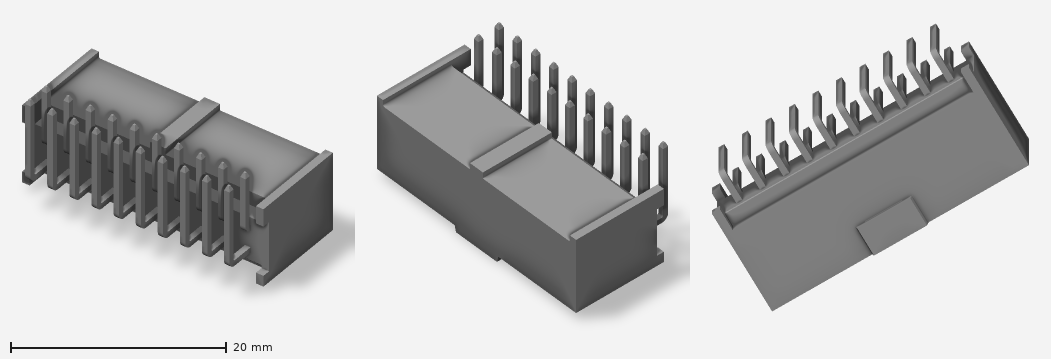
import cadquery as cq

length = 27.75
plate_depth = 10.95
plate_height = 8.93
plate_thickness = 0.85
inner_length = length - 2 * plate_thickness

wall_depth = 10.07
body_depth = 8.6
roof_drop = 0.75
upper_ledge_drop = 2.3
lower_ledge_height = 1.53
ledge_chamfer = 0.08

notch_bottom = 1.25
notch_top_drop = 2.0

rib_width = 1.8
rib_fillet = 0.08
plate_fillet = 0.2

key_height = 0.75
key_depth = 3.05
key_top_width = 6.05
key_bottom_width = 5.71
key_fillet = 0.08
key_rear_fillet_width = 4.02

pins_per_row = 10
row_span = 22.85
row_pitch = 2.55
pin_width = 0.65
outer_bend_radius = 0.83
inner_bend_radius = outer_bend_radius - pin_width
tip_height = 0.5
tip_width = 0.22
outer_pin_depth = 13.4
lower_pin_base = 2.47
pin_top = 11.9
pin_embed = 0.83

notch_top = plate_height - notch_top_drop
roof_height = plate_height - roof_drop


def block(width, depth, bottom, top):
    """Box centred on X, running from the mating face back to the given depth."""
    return (
        cq.Workplane("XY")
        .box(width, depth, top - bottom, centered=(True, False, False))
        .translate((0, -depth, bottom))
    )


def concave_fillet(x, z, radius, depth, side_x, side_z):
    """Bar filling an inside corner at (x, z); the signs point into the open corner."""
    arc_offset = radius * (1 - 0.5 ** 0.5)
    return (
        cq.Workplane("XZ")
        .moveTo(x, z)
        .lineTo(x + side_x * radius, z)
        .threePointArc(
            (x + side_x * arc_offset, z + side_z * arc_offset),
            (x, z + side_z * radius),
        )
        .close()
        .extrude(depth)
    )


def make_body():
    core = block(inner_length, body_depth, 0, roof_height)
    wall = block(
        inner_length, wall_depth, lower_ledge_height, plate_height - upper_ledge_drop
    )
    wall = wall.faces("<Y").edges("|X").chamfer(ledge_chamfer)
    return core.union(wall)


def make_end_plate(side):
    plate_center = side * (length - plate_thickness) / 2
    notch_depth = plate_depth - wall_depth
    plate = block(plate_thickness, plate_depth, 0, plate_height)
    notch = block(plate_thickness, notch_depth, notch_bottom, notch_top).translate((0, -wall_depth, 0))
    plate = plate.cut(notch).translate((plate_center, 0, 0))
    corner = concave_fillet(side * inner_length / 2, roof_height, plate_fillet, body_depth, -side, 1)
    return plate.union(corner)


def make_rib():
    rib = block(rib_width, body_depth, roof_height, plate_height)
    for side in (-1, 1):
        rib = rib.union(
            concave_fillet(side * rib_width / 2, roof_height, rib_fillet, body_depth, side, 1)
        )
    return rib


def make_body_with_key():
    """Body with the tapered key, filleted along its sides and the middle of its rear."""
    half_top = key_top_width / 2
    half_bottom = key_bottom_width / 2
    key = (
        cq.Workplane("XZ")
        .polyline(
            [
                (-half_top, 0),
                (half_top, 0),
                (half_bottom, -key_height),
                (-half_bottom, -key_height),
            ]
        )
        .close()
        .extrude(key_depth)
    )
    side_roots = cq.selectors.BoxSelector(
        (-key_top_width, key_fillet - key_depth, -key_fillet),
        (key_top_width, -key_fillet, key_fillet),
    )
    rear_root = (
        concave_fillet(0, 0, key_fillet, key_rear_fillet_width, -1, -1)
        .rotate((0, 0, 0), (0, 0, 1), 90)
        .translate((-key_rear_fillet_width / 2, -key_depth, 0))
    )
    body = make_body().union(key).edges(side_roots).fillet(key_fillet)
    return body.union(rear_root)


def make_pin(outer_depth, base):
    """Square pin leaving the rear wall, bending upward and ending in a blunt pyramid."""
    shaft_top = pin_top - tip_height
    start = -wall_depth + pin_embed
    rear = -outer_depth
    front = rear + pin_width
    pin = (
        cq.Workplane("YZ")
        .moveTo(start, base)
        .lineTo(rear + outer_bend_radius, base)
        .radiusArc((rear, base + outer_bend_radius), outer_bend_radius)
        .lineTo(rear, shaft_top)
        .lineTo(front, shaft_top)
        .lineTo(front, base + outer_bend_radius)
        .radiusArc((rear + outer_bend_radius, base + pin_width), -inner_bend_radius)
        .lineTo(start, base + pin_width)
        .close()
        .extrude(pin_width / 2, both=True)
    )
    tip = (
        cq.Workplane("XY", origin=(0, rear + pin_width / 2, shaft_top))
        .rect(pin_width, pin_width)
        .workplane(offset=tip_height)
        .rect(tip_width, tip_width)
        .loft(ruled=True)
    )
    return pin.union(tip)


result = make_body_with_key().union(make_rib())
for side in (-1, 1):
    result = result.union(make_end_plate(side))

lower_pin = make_pin(outer_pin_depth, lower_pin_base)
upper_pin = make_pin(outer_pin_depth - row_pitch, lower_pin_base + row_pitch)
pin_pitch = row_span / (pins_per_row - 1)
for index in range(pins_per_row):
    pin_x = index * pin_pitch - row_span / 2
    for pin in (lower_pin, upper_pin):
        result = result.union(pin.translate((pin_x, 0, 0)))